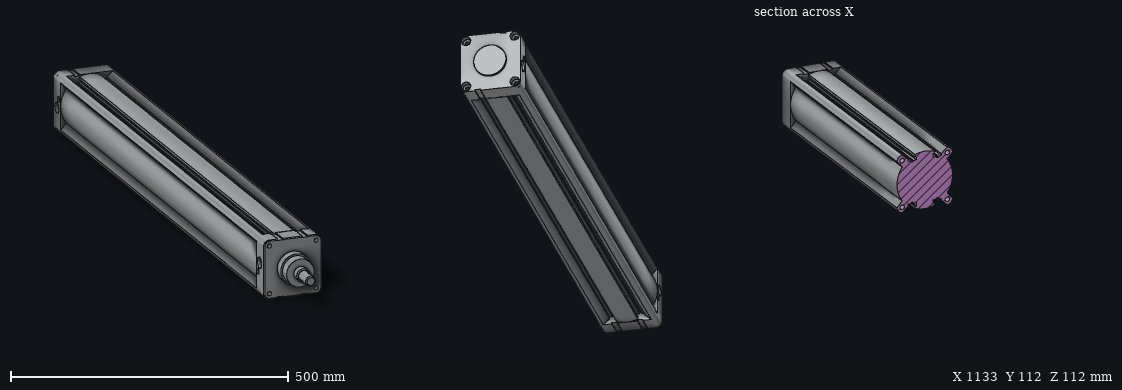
import cadquery as cq
import math

total_length = 1133.0
side = 112.0
half = side / 2
rear_boss_length = 5.0
cap_length = 37.0
rear_cap_end = rear_boss_length + cap_length
head_end = 1043.0
head_start = head_end - cap_length

barrel_radius = half
lobe_radius = 11.0
valley_half_width = half - lobe_radius
bulge_half_width = 33.0
valley_start_height = math.sqrt(barrel_radius**2 - bulge_half_width**2)
slot_offset = 25.0
slot_floor_height = 42.0
slot_mouth = 10.0
slot_inner_width = 16.0
slot_lip_bottom = 48.0
slot_floor_groove_width = 3.0
slot_floor_groove_depth = 2.0

screw_offset = 45.0
screw_recess_diameter = 17.0
screw_recess_depth = 11.0
tie_hole_diameter = 8.0
groove_offset = 24.0
groove_width = 10.0
groove_depth = 2.0
head_edge_chamfer = 1.7

port_diameter = 20.0
port_depth = 14.0
port_height = 8.0
rear_port_inset = 18.0
head_port_inset = 22.0
cushion_diameter = 10.0
cushion_depth = 3.0
needle_diameter = 5.0
needle_depth = 9.0
cushion_height = 10.0
rear_cushion_inset = 26.0
head_cushion_inset = 30.0

boss_diameter = 60.0
collar_end = 1060.0
nose_diameter = 53.0
nose_end = 1081.0
neck_diameter = 25.0
neck_end = 1097.0
rod_diameter = 19.0
neck_chamfer = 2.0
rod_chamfer = 2.0


def rod_section(diameter, start, end):
    """Round length of the cylinder axis."""
    return cq.Workplane("YZ").workplane(offset=start).circle(diameter / 2).extrude(end - start)


def block(start, end):
    """Square body length with rounded long edges."""
    body = cq.Workplane("YZ").workplane(offset=start).rect(side, side).extrude(end - start)
    return body.edges("|X").fillet(lobe_radius)


def valley(turn):
    """Material outside the barrel circle between two corner lobes on one side."""
    clear_of_side = half + 11
    shape = (
        cq.Workplane("YZ").workplane(offset=rear_cap_end)
        .moveTo(-bulge_half_width, valley_start_height)
        .threePointArc((0, barrel_radius), (bulge_half_width, valley_start_height))
        .lineTo(valley_half_width, half)
        .lineTo(valley_half_width, clear_of_side)
        .lineTo(-valley_half_width, clear_of_side)
        .lineTo(-valley_half_width, half)
        .close()
        .extrude(head_start - rear_cap_end)
    )
    return shape.rotate((0, 0, 0), (1, 0, 0), turn)


def sensor_slot(offset):
    """Undercut slot along the barrel, opening upwards, with a narrow groove in its floor."""
    length = head_start - rear_cap_end
    middle = (rear_cap_end + head_start) / 2

    def strip(width, bottom, top):
        base = cq.Workplane("XY", origin=(middle, offset, bottom))
        return base.rect(length, width).extrude(top - bottom)

    mouth = strip(slot_mouth, slot_floor_height, half)
    undercut = strip(slot_inner_width, slot_floor_height, slot_lip_bottom)
    floor_groove_bottom = slot_floor_height - slot_floor_groove_depth
    floor_groove = strip(slot_floor_groove_width, floor_groove_bottom, slot_floor_height)
    return mouth.union(undercut).union(floor_groove)


def cap_groove(start, offset):
    """Shallow groove along the top of an end cap."""
    middle = start + cap_length / 2
    top = cq.Workplane("XY", origin=(middle, offset, half - groove_depth))
    return top.rect(cap_length, groove_width).extrude(groove_depth)


def front_hole(x, z, diameter, depth):
    """Blind hole drilled into the -Y side."""
    return cq.Workplane("XZ", origin=(x, -half, z)).circle(diameter / 2).extrude(-depth)


def front_openings(port_x, port_z, cushion_x, cushion_z):
    """Air port with its stepped cushion screw hole."""
    port = front_hole(port_x, port_z, port_diameter, port_depth)
    cushion = front_hole(cushion_x, cushion_z, cushion_diameter, cushion_depth)
    needle = front_hole(cushion_x, cushion_z, needle_diameter, needle_depth)
    return port.union(cushion).union(needle)


def corner_holes(diameter, start, end):
    """Four holes along X, one in each corner."""
    spacing = 2 * screw_offset
    face = cq.Workplane("YZ", origin=(start, 0, 0)).rect(spacing, spacing, forConstruction=True)
    return face.vertices().circle(diameter / 2).extrude(end - start)


def turned_over(shape):
    """The same shape turned half a turn about the cylinder axis."""
    return shape.rotate((0, 0, 0), (1, 0, 0), 180)


barrel = block(rear_cap_end, head_start)
for turn in (0, 90, 180, 270):
    barrel = barrel.cut(valley(turn))
for offset in (-slot_offset, slot_offset):
    slot = sensor_slot(offset)
    barrel = barrel.cut(slot).cut(turned_over(slot))

rear_cap = block(rear_boss_length, rear_cap_end)
groove = cap_groove(rear_boss_length, -groove_offset)
rear_cap = rear_cap.cut(groove).cut(turned_over(groove))
rear_cap = rear_cap.cut(front_openings(
    rear_boss_length + rear_port_inset, -port_height,
    rear_boss_length + rear_cushion_inset, cushion_height,
))

head = block(head_start, head_end).faces(">X").chamfer(head_edge_chamfer)
for offset in (-groove_offset, groove_offset):
    groove = cap_groove(head_start, offset)
    head = head.cut(groove).cut(turned_over(groove))
head = head.cut(front_openings(
    head_end - head_port_inset, port_height,
    head_end - head_cushion_inset, -cushion_height,
))

rear_boss = rod_section(boss_diameter, 0, rear_boss_length)
collar = rod_section(boss_diameter, head_end, collar_end)
nose = rod_section(nose_diameter, collar_end, nose_end)
neck = rod_section(neck_diameter, nose_end, neck_end).faces(">X").chamfer(neck_chamfer)
rod = rod_section(rod_diameter, neck_end, total_length).faces(">X").chamfer(rod_chamfer)

result = barrel
for piece in (rear_cap, head, rear_boss, collar, nose, neck, rod):
    result = result.union(piece)

result = result.cut(corner_holes(tie_hole_diameter, rear_boss_length, head_end))
result = result.cut(
    corner_holes(screw_recess_diameter, rear_boss_length, rear_boss_length + screw_recess_depth)
)